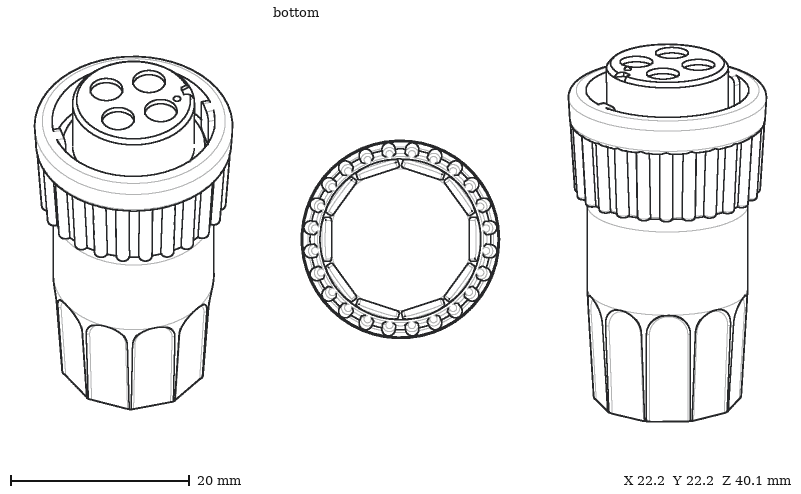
import cadquery as cq
import math

GRIP_HEIGHT = 13.15
BODY_RADIUS = 9.02
GRIP_DRAFT = 3.3
GRIP_BOTTOM_ROUND = 0.35
FLAT_COUNT = 10
FLAT_APOTHEM = 7.72
FLAT_HALF_WIDTH = 2.5
FLAT_FLOOR_FILLET = 0.35

BODY_TOP = 24.15
BODY_TOP_ROUND = 1.1
NECK_RADIUS = 7.83

RING_BOTTOM = 24.63
RING_TOP = 36.7
RING_RADIUS = 11.11
RING_DRAFT = 3.5
RIM_ROUND = 0.85
BAND_BOTTOM = 32.78
BAND_BOTTOM_ROUND = 0.55
RIB_COUNT = 24
RIB_RADIUS = 0.75
RIB_SETBACK = 0.04
RING_BOTTOM_ROUND = 0.35

SOCKET_RADIUS = 9.13
SOCKET_FLOOR = 32.2
LUG_WIDTH = 2.94
LUG_FACE = 8.27
LUG_ROUND = 0.78

INSERT_RADIUS = 6.83
INSERT_TOP = 39.88
INSERT_CHAMFER_WIDTH = 0.45
INSERT_CHAMFER_HEIGHT = 0.5
SEAL_OUTER_RADIUS = 8.02
HOLE_RADIUS = 1.82
HOLE_OFFSET = 2.48
HOLE_DEPTH = 0.65
KEYWAY_BOTTOM = 5.67
KEYWAY_BOTTOM_HALF_WIDTH = 0.55
KEYWAY_MOUTH_HALF_WIDTH = 1.0
KEYWAY_DEPTH = 0.5
OVERALL_HEIGHT = 40.13
PIP_RADIUS = 0.45
PIP_X = 1.09
PIP_Y = 4.75

OVERLAP = 1.0


def ring_cone_radius(z):
    """Radius of the tapered outside of the coupling ring at height z."""
    drop = RING_TOP - RIM_ROUND - z
    return RING_RADIUS - drop * math.tan(math.radians(RING_DRAFT))


def groove_radius(z):
    """Radius of the groove floor between the ribs at height z."""
    return ring_cone_radius(z) - RIB_SETBACK - RIB_RADIUS


def revolve_profile(profile):
    """Turn a closed (radius, z) profile about the Z axis."""
    return profile.close().revolve(360, (0, 0, 0), (0, 1, 0))


def make_disc(radius, bottom, top):
    return cq.Workplane("XY").workplane(offset=bottom).circle(radius).extrude(top - bottom)


def make_flat_cutter():
    """Arched finger flat facing +X, leaning outwards with the grip draft."""
    flat_plane = cq.Plane(origin=(FLAT_APOTHEM, 0, 0), xDir=(0, 1, 0), normal=(1, 0, 0))
    flat_plane = flat_plane.rotated((GRIP_DRAFT, 0, 0))
    arch_spring = GRIP_HEIGHT - FLAT_HALF_WIDTH
    return (
        cq.Workplane(flat_plane)
        .moveTo(-FLAT_HALF_WIDTH, -OVERLAP)
        .lineTo(FLAT_HALF_WIDTH, -OVERLAP)
        .lineTo(FLAT_HALF_WIDTH, arch_spring)
        .threePointArc((0, GRIP_HEIGHT), (-FLAT_HALF_WIDTH, arch_spring))
        .close()
        .extrude(BODY_RADIUS - FLAT_APOTHEM + OVERLAP)
        .faces("<X")
        .edges()
        .fillet(FLAT_FLOOR_FILLET)
    )


def make_shell():
    """Grip, cylindrical body and neck."""
    grip_bottom_radius = BODY_RADIUS - GRIP_HEIGHT * math.tan(math.radians(GRIP_DRAFT))
    shell = revolve_profile(
        cq.Workplane("XZ")
        .moveTo(0, 0)
        .lineTo(grip_bottom_radius, 0)
        .lineTo(BODY_RADIUS, GRIP_HEIGHT)
        .lineTo(BODY_RADIUS, BODY_TOP)
        .lineTo(0, BODY_TOP)
    )
    shell = shell.faces(">Z").edges().fillet(BODY_TOP_ROUND)
    shell = shell.faces("<Z").edges().fillet(GRIP_BOTTOM_ROUND)
    cutter = make_flat_cutter()
    for index in range(FLAT_COUNT):
        angle = index * 360 / FLAT_COUNT
        shell = shell.cut(cutter.rotate((0, 0, 0), (0, 0, 1), angle))
    return shell.union(make_disc(NECK_RADIUS, BODY_TOP - OVERLAP, RING_BOTTOM + OVERLAP))


def make_ring_core():
    """Coupling ring without ribs: rounded rim, plain band and groove floor."""
    band_edge = BAND_BOTTOM + BAND_BOTTOM_ROUND
    band_edge_radius = ring_cone_radius(band_edge)
    core = revolve_profile(
        cq.Workplane("XZ")
        .moveTo(0, RING_BOTTOM)
        .lineTo(groove_radius(RING_BOTTOM), RING_BOTTOM)
        .lineTo(groove_radius(BAND_BOTTOM), BAND_BOTTOM)
        .lineTo(band_edge_radius - BAND_BOTTOM_ROUND, BAND_BOTTOM)
        .radiusArc((band_edge_radius, band_edge), -BAND_BOTTOM_ROUND)
        .lineTo(ring_cone_radius(RING_TOP), RING_TOP)
        .lineTo(0, RING_TOP)
    )
    core = core.faces(">Z").edges().fillet(RIM_ROUND)
    return core.faces("<Z").edges().fillet(RING_BOTTOM_ROUND)


def make_rib():
    """Round rib whose axis lies on the groove floor, with a rounded lower end."""
    rib_start = RING_BOTTOM - OVERLAP
    rib_direction = (math.sin(math.radians(RING_DRAFT)), 0, math.cos(math.radians(RING_DRAFT)))
    rib_plane = cq.Plane(
        origin=(groove_radius(rib_start), 0, rib_start), xDir=(0, 1, 0), normal=rib_direction
    )
    rib_top = BAND_BOTTOM + BAND_BOTTOM_ROUND
    rib_zone = make_disc(RING_RADIUS + OVERLAP, RING_BOTTOM, rib_top)
    rib = cq.Workplane(rib_plane).circle(RIB_RADIUS).extrude(rib_top - rib_start + OVERLAP)
    return rib.intersect(rib_zone).faces("<Z").edges().fillet(RING_BOTTOM_ROUND)


def make_lug():
    """Bayonet lug on the +Y side of the socket wall, with rounded top corners."""
    lug_depth = SOCKET_RADIUS + RIM_ROUND - LUG_FACE
    lug = (
        cq.Workplane("XY")
        .workplane(offset=SOCKET_FLOOR - OVERLAP)
        .center(0, LUG_FACE + lug_depth / 2)
        .rect(LUG_WIDTH, lug_depth)
        .extrude(RING_TOP - SOCKET_FLOOR + OVERLAP)
    )
    return lug.faces(">Z").edges("|Y").fillet(LUG_ROUND)


def make_coupling_ring():
    ring = make_ring_core()
    rib = make_rib()
    pitch = 360 / RIB_COUNT
    for index in range(RIB_COUNT):
        ring = ring.union(rib.rotate((0, 0, 0), (0, 0, 1), (index + 0.5) * pitch))
    ring = ring.cut(make_disc(SOCKET_RADIUS, SOCKET_FLOOR, RING_TOP + OVERLAP))
    lug = make_lug()
    for angle in (0, 180):
        ring = ring.union(lug.rotate((0, 0, 0), (0, 0, 1), angle))
    return ring


def make_seal():
    """Seal around the insert with straight sides and a half-round top."""
    seal_radius = (SEAL_OUTER_RADIUS - INSERT_RADIUS) / 2
    side_top = SOCKET_FLOOR + seal_radius
    seal_bottom = SOCKET_FLOOR - OVERLAP
    return revolve_profile(
        cq.Workplane("XZ")
        .moveTo(INSERT_RADIUS, seal_bottom)
        .lineTo(SEAL_OUTER_RADIUS, seal_bottom)
        .lineTo(SEAL_OUTER_RADIUS, side_top)
        .threePointArc((INSERT_RADIUS + seal_radius, side_top + seal_radius), (INSERT_RADIUS, side_top))
    )


def make_insert():
    """Insert with four contact holes, an index keyway and a marking pip."""
    insert = revolve_profile(
        cq.Workplane("XZ")
        .moveTo(0, SOCKET_FLOOR - OVERLAP)
        .lineTo(INSERT_RADIUS, SOCKET_FLOOR - OVERLAP)
        .lineTo(INSERT_RADIUS, INSERT_TOP - INSERT_CHAMFER_HEIGHT)
        .lineTo(INSERT_RADIUS - INSERT_CHAMFER_WIDTH, INSERT_TOP)
        .lineTo(0, INSERT_TOP)
    )
    holes = (
        cq.Workplane("XY")
        .workplane(offset=INSERT_TOP - HOLE_DEPTH)
        .rect(2 * HOLE_OFFSET, 2 * HOLE_OFFSET, forConstruction=True)
        .vertices()
        .circle(HOLE_RADIUS)
        .extrude(HOLE_DEPTH + OVERLAP)
    )
    keyway = (
        cq.Workplane("XY")
        .workplane(offset=INSERT_TOP - KEYWAY_DEPTH)
        .moveTo(-KEYWAY_BOTTOM_HALF_WIDTH, KEYWAY_BOTTOM)
        .lineTo(KEYWAY_BOTTOM_HALF_WIDTH, KEYWAY_BOTTOM)
        .lineTo(KEYWAY_MOUTH_HALF_WIDTH, INSERT_RADIUS)
        .lineTo(-KEYWAY_MOUTH_HALF_WIDTH, INSERT_RADIUS)
        .close()
        .extrude(KEYWAY_DEPTH + OVERLAP)
    )
    pip_center = (PIP_X, PIP_Y, OVERALL_HEIGHT - PIP_RADIUS)
    pip = cq.Workplane("XY").sphere(PIP_RADIUS).translate(pip_center)
    return insert.cut(holes).cut(keyway).union(pip)


result = make_shell().union(make_coupling_ring()).union(make_seal()).union(make_insert())